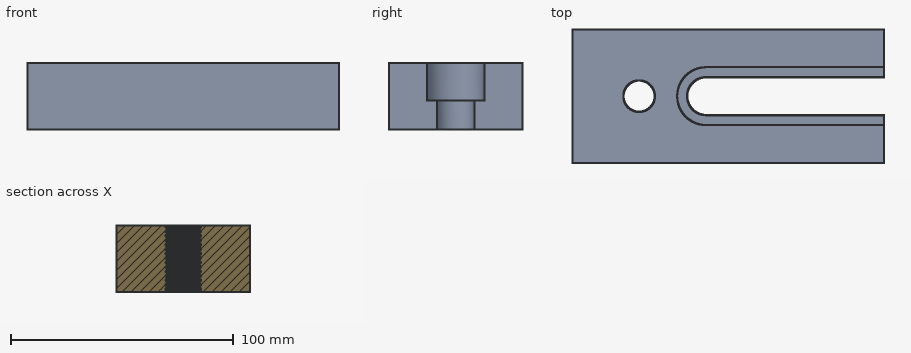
import cadquery as cq

length = 140.0
width = 60.0
height = 30.0

slot_end_center_x = 60.0
slot_width = 17.0
recess_width = 26.0
recess_depth = 17.0

hole_x = 30.0
hole_diameter = 14.0
thread_depth = 1.0
thread_count = 15
thread_pitch = height / thread_count
crest_width = thread_pitch / 4


def open_slot(slot_size, bottom_z):
    """Cutter with a round closed end, running out through the +X face."""
    radius = slot_size / 2
    return (
        cq.Workplane("XY", origin=(0, 0, bottom_z))
        .moveTo(length, -radius)
        .lineTo(slot_end_center_x, -radius)
        .threePointArc((slot_end_center_x - radius, 0), (slot_end_center_x, radius))
        .lineTo(length, radius)
        .close()
        .extrude(height - bottom_z)
    )


def threaded_hole():
    """Through-hole cutter with a flat land and a V-shaped groove per pitch."""
    crest_radius = hole_diameter / 2
    root_radius = crest_radius + thread_depth
    profile = cq.Workplane("XZ").moveTo(0, 0).lineTo(crest_radius, 0)
    for turn in range(thread_count):
        land_bottom_z = turn * thread_pitch
        groove_bottom_z = land_bottom_z + crest_width
        groove_top_z = land_bottom_z + thread_pitch
        profile = profile.lineTo(crest_radius, groove_bottom_z)
        profile = profile.lineTo(root_radius, (groove_bottom_z + groove_top_z) / 2)
        profile = profile.lineTo(crest_radius, groove_top_z)
    profile = profile.lineTo(0, height).close()
    return profile.revolve(360, (0, 0, 0), (0, 1, 0)).translate((hole_x, 0, 0))


block = cq.Workplane("XY").box(length, width, height, centered=(False, True, False))
through_slot = open_slot(slot_width, 0)
recess = open_slot(recess_width, height - recess_depth)

result = block.cut(through_slot).cut(recess).cut(threaded_hole())